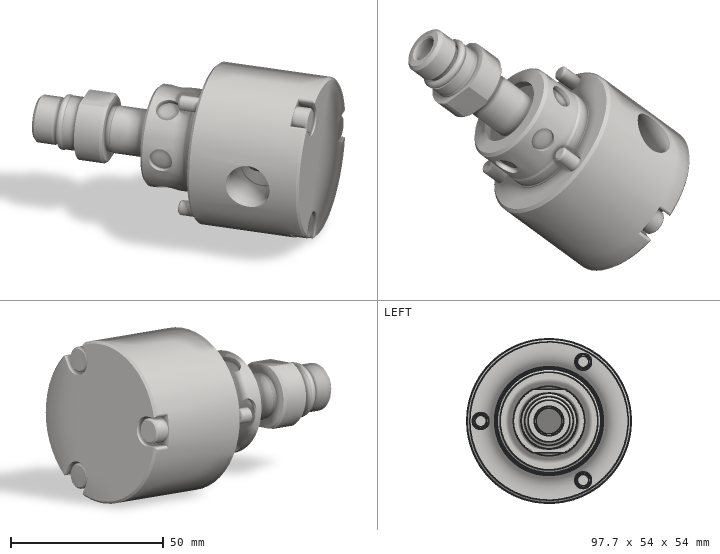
import cadquery as cq
import math


LENGTH = 97.7
DRUM_DIA = 54.0
DRUM_FRONT = 59.2
EDGE_CHAMFER = 1.0
REAR_CHAMFER = 0.8

COLLAR_FRONT = 40.1
COLLAR_DIA = 34.1
COLLAR_BASE_DIA = 34.8
COLLAR_STEP = 55.0
COLLAR_STEP_LENGTH = 0.8
LIP_DIA = 35.8
LIP_HEIGHT = 0.3

COLLAR_BORE_DIA = 22.9
COLLAR_BORE_DEPTH = 2.6
COLLAR_HOLE_DIA = 7.9
COLLAR_HOLE_COUNT = 6
COLLAR_HOLE_X = 47.3
COLLAR_HOLE_FLOOR_DIA = 30.5

PORT_X = 80.3
PORT_DIA = 14.3
PORT_MOUTH_DIA = 15.0
PORT_STEP_RADIUS = 10.7

SCREW_CIRCLE_RADIUS = 22.5
SCREW_ANGLES = (30, 150, 270)
SCREW_DIA = 5.0
SCREW_HOLE_DIA = 5.5
SCREW_TIP = 52.2
SCREW_CHAMFER = 0.6
HEAD_DIA = 8.5
HEAD_TOP = 97.1
HEAD_CHAMFER = 0.6

POCKET_FLOOR = 92.1
POCKET_DIA = 10.0
POCKET_EDGE_RADIUS = 0.9

SHAFT_DIA = 15.8
JOURNAL_DIA = 14.3
JOURNAL_START = DRUM_FRONT
SHAFT_END = 91.8
SHAFT_BORE_DIA = 8.5
SHAFT_BORE_CHAMFER = 0.6

NOSE_DIA = 15.9
NOSE_TIP_CHAMFER = 1.1
NOSE_END = 8.3
RING_GROOVE_DIA = 13.5
NOSE_END_CHAMFER = (NOSE_DIA - RING_GROOVE_DIA) / 2

RING_X = 9.9
RING_SECTION_RADIUS = 1.3
RING_OUTER_DIA = 18.5
RING_GROOVE_END = RING_X + RING_SECTION_RADIUS

SPIGOT_DIA = 18.0
SPIGOT_END = 15.3
SHOULDER_DIA = 18.4
SHOULDER_START = 15.6

NUT_FRONT = 15.9
NUT_END = 25.4
NUT_DIA = 23.4
NUT_FLATS = 20.9
NUT_CHAMFER_LENGTH = 0.9
NUT_CHAMFER_HEIGHT = 0.8

RELIEF_DIA = 15.3
RELIEF_END = 26.9


def disc(x_start, x_end, diameter):
    """Cylinder on the X axis between two stations."""
    return cq.Workplane("YZ", origin=(x_start, 0, 0)).circle(diameter / 2).extrude(x_end - x_start)


def turned(points):
    """Solid of revolution about X from (x, radius) points."""
    return cq.Workplane("XY").polyline(points).close().revolve(360, (0, 0, 0), (1, 0, 0))


def around_axis(shape, angle):
    """Turn a shape about the X axis, from +Z towards -Y for positive angles."""
    return shape.rotate((0, 0, 0), (1, 0, 0), angle)


def drum_and_collar():
    drum = disc(DRUM_FRONT, LENGTH, DRUM_DIA)
    drum = drum.faces("<X").chamfer(EDGE_CHAMFER).faces(">X").chamfer(REAR_CHAMFER)
    collar = turned([
        (COLLAR_FRONT, 0),
        (COLLAR_FRONT, COLLAR_DIA / 2 - EDGE_CHAMFER),
        (COLLAR_FRONT + EDGE_CHAMFER, COLLAR_DIA / 2),
        (COLLAR_STEP, COLLAR_DIA / 2),
        (COLLAR_STEP + COLLAR_STEP_LENGTH, COLLAR_BASE_DIA / 2),
        (DRUM_FRONT - LIP_HEIGHT, COLLAR_BASE_DIA / 2),
        (DRUM_FRONT - LIP_HEIGHT, LIP_DIA / 2),
        (DRUM_FRONT, LIP_DIA / 2),
        (DRUM_FRONT, 0),
    ])
    return drum.union(collar)


def collar_holes():
    """Radial holes, all stopping on one inner cylinder."""
    hole = (
        cq.Workplane("XZ", origin=(COLLAR_HOLE_X, 0, 0))
        .circle(COLLAR_HOLE_DIA / 2)
        .extrude(COLLAR_DIA / 2)
    )
    holes = cq.Workplane("XY")
    for index in range(COLLAR_HOLE_COUNT):
        holes = holes.add(around_axis(hole, index * 360 / COLLAR_HOLE_COUNT))
    core = disc(COLLAR_FRONT, DRUM_FRONT, COLLAR_HOLE_FLOOR_DIA)
    return holes.combine().cut(core)


def side_port():
    """Port from the -Y side down to the shaft axis, wider at its mouth."""
    plane = cq.Workplane("XZ", origin=(PORT_X, 0, 0))
    port = plane.circle(PORT_DIA / 2).extrude(DRUM_DIA / 2)
    mouth = (
        plane.workplane(offset=PORT_STEP_RADIUS)
        .circle(PORT_MOUTH_DIA / 2)
        .extrude(DRUM_DIA / 2 - PORT_STEP_RADIUS)
    )
    return port.union(mouth)


def screw_pocket():
    """Rear pocket at the top of the drum, open to the outside over rounded edges."""
    drum_radius = DRUM_DIA / 2
    half_width = POCKET_DIA / 2
    center_y = half_width + POCKET_EDGE_RADIUS
    center_z = math.sqrt((drum_radius - POCKET_EDGE_RADIUS) ** 2 - center_y ** 2)
    end_angle = math.atan2(center_z, center_y)
    mid_angle = (math.pi + end_angle) / 2
    mid_y = center_y + POCKET_EDGE_RADIUS * math.cos(mid_angle)
    mid_z = center_z + POCKET_EDGE_RADIUS * math.sin(mid_angle)
    end_y = drum_radius * math.cos(end_angle)
    end_z = drum_radius * math.sin(end_angle)
    outline = (
        cq.Workplane("YZ", origin=(POCKET_FLOOR, 0, 0))
        .moveTo(half_width, SCREW_CIRCLE_RADIUS)
        .lineTo(half_width, center_z)
        .threePointArc((mid_y, mid_z), (end_y, end_z))
        .threePointArc((0, drum_radius), (-end_y, end_z))
        .threePointArc((-mid_y, mid_z), (-half_width, center_z))
        .lineTo(-half_width, SCREW_CIRCLE_RADIUS)
        .threePointArc((0, SCREW_CIRCLE_RADIUS - half_width), (half_width, SCREW_CIRCLE_RADIUS))
        .close()
    )
    return outline.extrude(LENGTH - POCKET_FLOOR)


def screw_hole():
    return disc(DRUM_FRONT, POCKET_FLOOR, SCREW_HOLE_DIA).translate((0, 0, SCREW_CIRCLE_RADIUS))


def screw():
    shank = disc(SCREW_TIP, POCKET_FLOOR, SCREW_DIA).faces("<X").chamfer(SCREW_CHAMFER)
    head = disc(POCKET_FLOOR, HEAD_TOP, HEAD_DIA).faces(">X").chamfer(HEAD_CHAMFER)
    return shank.union(head).translate((0, 0, SCREW_CIRCLE_RADIUS))


def make_housing():
    housing = drum_and_collar()
    housing = housing.cut(disc(COLLAR_FRONT, JOURNAL_START, SHAFT_DIA))
    housing = housing.cut(disc(JOURNAL_START, SHAFT_END, JOURNAL_DIA))
    housing = housing.cut(disc(COLLAR_FRONT, COLLAR_FRONT + COLLAR_BORE_DEPTH, COLLAR_BORE_DIA))
    housing = housing.cut(side_port())
    housing = housing.cut(collar_holes())
    for angle in SCREW_ANGLES:
        housing = housing.cut(around_axis(screw_pocket(), angle))
        housing = housing.cut(around_axis(screw_hole(), angle))
        housing = housing.union(around_axis(screw(), angle))
    return housing


def shaft_blank():
    """Turned outer form of the shaft from the tip to its inner end."""
    relief_step = (SHAFT_DIA - RELIEF_DIA) / 2
    return turned([
        (0, 0),
        (0, NOSE_DIA / 2 - NOSE_TIP_CHAMFER),
        (NOSE_TIP_CHAMFER, NOSE_DIA / 2),
        (NOSE_END - NOSE_END_CHAMFER, NOSE_DIA / 2),
        (NOSE_END, RING_GROOVE_DIA / 2),
        (RING_GROOVE_END, RING_GROOVE_DIA / 2),
        (RING_GROOVE_END, SPIGOT_DIA / 2),
        (SPIGOT_END, SPIGOT_DIA / 2),
        (SHOULDER_START, SHOULDER_DIA / 2),
        (NUT_FRONT, SHOULDER_DIA / 2),
        (NUT_FRONT, NUT_DIA / 2),
        (NUT_END - NUT_CHAMFER_LENGTH, NUT_DIA / 2),
        (NUT_END, NUT_DIA / 2 - NUT_CHAMFER_HEIGHT),
        (NUT_END, RELIEF_DIA / 2),
        (RELIEF_END, RELIEF_DIA / 2),
        (RELIEF_END + relief_step, SHAFT_DIA / 2),
        (JOURNAL_START, SHAFT_DIA / 2),
        (JOURNAL_START, JOURNAL_DIA / 2),
        (SHAFT_END, JOURNAL_DIA / 2),
        (SHAFT_END, 0),
    ])


def seal_ring():
    """Round-section ring bedded on the floor of its groove."""
    section_center = RING_OUTER_DIA / 2 - RING_SECTION_RADIUS
    return (
        cq.Workplane("XY")
        .center(RING_X, section_center)
        .circle(RING_SECTION_RADIUS)
        .revolve(360, (0, -section_center, 0), (1, -section_center, 0))
    )


def nut_flats():
    """Slabs that leave two flats, above and below, on the nut."""
    nut_length = NUT_END - NUT_FRONT
    slab = cq.Workplane("XY").box(nut_length, NUT_DIA, NUT_DIA, centered=(False, True, False))
    upper = slab.translate((NUT_FRONT, 0, NUT_FLATS / 2))
    return upper.union(around_axis(upper, 180))


def shaft_bore():
    """Blind bore from the tip, as deep as the middle of the side port."""
    mouth_radius = SHAFT_BORE_DIA / 2 + SHAFT_BORE_CHAMFER
    return turned([
        (0, 0),
        (0, mouth_radius),
        (SHAFT_BORE_CHAMFER, SHAFT_BORE_DIA / 2),
        (PORT_X, SHAFT_BORE_DIA / 2),
        (PORT_X, 0),
    ])


def make_shaft():
    return shaft_blank().union(seal_ring()).cut(nut_flats()).cut(shaft_bore())


housing = make_housing()
shaft = make_shaft()

result = cq.Compound.makeCompound([*housing.solids().vals(), *shaft.solids().vals()])